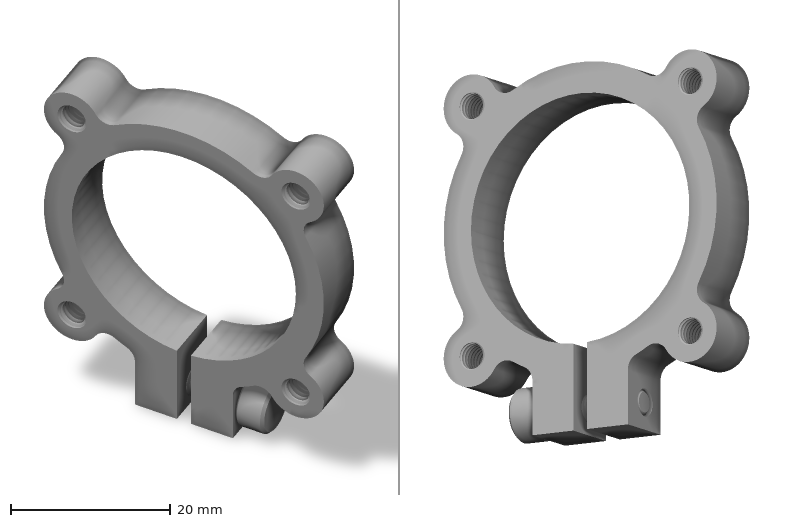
import cadquery as cq
import math

THICKNESS = 8.0
BORE_RADIUS = 16.0
RING_RADIUS = 20.0
BOSS_RADIUS = 4.0
BOSS_OFFSET = RING_RADIUS - BOSS_RADIUS
BOSS_FILLET = 2.0

EAR_HALF_SPAN = 7.0
SLOT_WIDTH = 2.0
EAR_BOTTOM = -27.1
EAR_FILLET = 2.0

PITCH = 0.7
MAJOR_RADIUS = 2.0
MINOR_RADIUS = 1.65
FLANK_HALF_ANGLE = math.radians(30)
CREST_HALF_WIDTH = PITCH / 16
RIDGE_ROOT_OVERLAP = 0.05
THREAD_OVERRUN = PITCH
COUNTERSINK_RADIUS = 2.05

HEAD_RADIUS = 3.5
HEAD_HEIGHT = 4.0
HEAD_END_CHAMFER = 0.4
HEAD_BASE_CHAMFER = 0.3
SCREW_LENGTH = 2 * EAR_HALF_SPAN
TIP_CHAMFER = 0.7
SCREW_THREAD_START = -90
SCREW_Z = EAR_BOTTOM + HEAD_RADIUS


def rod(radius, length):
    """Cylinder on the Z axis, from z = 0 up to its length."""
    return cq.Workplane("XY").circle(radius).extrude(length)


def threaded_rod(length):
    """Right-hand threaded rod on the Z axis that overruns both ends of 0..length."""
    root_radius = MINOR_RADIUS - RIDGE_ROOT_OVERLAP
    root_half_width = CREST_HALF_WIDTH + (MAJOR_RADIUS - root_radius) * math.tan(FLANK_HALF_ANGLE)
    helix = cq.Wire.makeHelix(PITCH, length + 2 * THREAD_OVERRUN, root_radius)
    ridge = (
        cq.Workplane("XZ")
        .polyline([
            (root_radius, -root_half_width),
            (MAJOR_RADIUS, -CREST_HALF_WIDTH),
            (MAJOR_RADIUS, CREST_HALF_WIDTH),
            (root_radius, root_half_width),
        ])
        .close()
        .sweep(cq.Workplane(helix), isFrenet=True)
        .translate((0, 0, -THREAD_OVERRUN))
    )
    core = rod(MINOR_RADIUS, length + 4 * THREAD_OVERRUN).translate((0, 0, -2 * THREAD_OVERRUN))
    return core.union(ridge)


def along_y(shape, x, z):
    """Turn a Z-axis shape onto Y, starting at the front face of the ring at (x, z)."""
    return shape.rotate((0, 0, 0), (1, 0, 0), -90).translate((x, -THICKNESS / 2, z))


def along_x(shape):
    """Turn a Z-axis shape onto the screw axis, starting at the left side of the ears."""
    return shape.rotate((0, 0, 0), (0, 1, 0), 90).translate((-EAR_HALF_SPAN, 0, SCREW_Z))


def plate(radius, x, z):
    """Round plate of the ring's thickness, centred at (x, z)."""
    return along_y(rod(radius, THICKNESS), x, z)


def polar(radius, angle, centre=(0, 0)):
    """Point at a radius and angle about a centre."""
    return (centre[0] + radius * math.cos(angle), centre[1] + radius * math.sin(angle))


def triangle_angle(opposite, side_a, side_b):
    """Angle between two sides of a triangle, from its three side lengths."""
    return math.acos((side_a**2 + side_b**2 - opposite**2) / (2 * side_a * side_b))


boss_distance = BOSS_OFFSET * math.sqrt(2)
boss_angles = [math.radians(angle) for angle in (-45, 45, 135, 225)]

boss_fillet_distance = RING_RADIUS + BOSS_FILLET
boss_to_fillet = BOSS_RADIUS + BOSS_FILLET
angle_at_ring = triangle_angle(boss_to_fillet, boss_distance, boss_fillet_distance)
angle_at_boss = triangle_angle(boss_fillet_distance, boss_distance, boss_to_fillet)
angle_at_fillet = math.pi - angle_at_ring - angle_at_boss


def add_boss(outline, boss_angle):
    """Continue a counterclockwise outline around one boss: fillet, boss arc, fillet."""
    boss_centre = polar(boss_distance, boss_angle)
    first_angle = boss_angle - angle_at_ring
    last_angle = boss_angle + angle_at_ring
    first_centre = polar(boss_fillet_distance, first_angle)
    last_centre = polar(boss_fillet_distance, last_angle)
    first_middle = polar(BOSS_FILLET, first_angle + math.pi - angle_at_fillet / 2, first_centre)
    last_middle = polar(BOSS_FILLET, last_angle + math.pi + angle_at_fillet / 2, last_centre)
    boss_start = polar(BOSS_RADIUS, boss_angle + math.pi + angle_at_boss, boss_centre)
    boss_end = polar(BOSS_RADIUS, boss_angle + math.pi - angle_at_boss, boss_centre)
    return (
        outline
        .threePointArc(first_middle, boss_start)
        .threePointArc(polar(BOSS_RADIUS, boss_angle, boss_centre), boss_end)
        .threePointArc(last_middle, polar(RING_RADIUS, last_angle))
    )


def build_outline():
    """Solid plate with the ring's outer outline, its four bosses and the ear block."""
    ear_fillet_x = EAR_HALF_SPAN + EAR_FILLET
    ear_fillet_z = -math.sqrt((RING_RADIUS + EAR_FILLET) ** 2 - ear_fillet_x**2)
    ear_angle = math.atan2(ear_fillet_z, ear_fillet_x)
    right_centre = (ear_fillet_x, ear_fillet_z)
    left_ear_angle = math.pi - ear_angle
    right_middle = polar(EAR_FILLET, -math.pi + ear_angle / 2, right_centre)
    left_middle = (-right_middle[0], right_middle[1])
    right_tangent = polar(RING_RADIUS, ear_angle)
    left_tangent = polar(RING_RADIUS, left_ear_angle)

    outline = (
        cq.Workplane("XZ", origin=(0, THICKNESS / 2, 0))
        .moveTo(EAR_HALF_SPAN, EAR_BOTTOM)
        .lineTo(EAR_HALF_SPAN, ear_fillet_z)
        .threePointArc(right_middle, right_tangent)
    )
    arc_start_angle = ear_angle
    for boss_angle in boss_angles:
        arc_end_angle = boss_angle - angle_at_ring
        outline = outline.threePointArc(
            polar(RING_RADIUS, (arc_start_angle + arc_end_angle) / 2),
            polar(RING_RADIUS, arc_end_angle),
        )
        outline = add_boss(outline, boss_angle)
        arc_start_angle = boss_angle + angle_at_ring
    return (
        outline
        .threePointArc(polar(RING_RADIUS, (arc_start_angle + left_ear_angle) / 2), left_tangent)
        .threePointArc(left_middle, (-EAR_HALF_SPAN, ear_fillet_z))
        .lineTo(-EAR_HALF_SPAN, EAR_BOTTOM)
        .close()
        .extrude(THICKNESS)
    )


def build_clamp(screw_thread):
    """Split clamp ring with four tapped bosses and a tapped hole through the ears."""
    body = build_outline().cut(plate(BORE_RADIUS, 0, 0))
    slot = cq.Workplane("XY").box(SLOT_WIDTH, THICKNESS, -EAR_BOTTOM, centered=(True, True, False))
    body = body.cut(slot.translate((0, 0, EAR_BOTTOM)))

    boss_thread = threaded_rod(THICKNESS)
    countersink = cq.Workplane(cq.Solid.makeCone(COUNTERSINK_RADIUS, 0, COUNTERSINK_RADIUS))
    for boss_angle in boss_angles:
        x, z = polar(boss_distance, boss_angle)
        body = body.cut(along_y(countersink, x, z))
        body = body.cut(along_y(boss_thread, x, z))
    return body.cut(screw_thread)


def build_screw(screw_thread):
    """Clamp screw with its tip level with the left ear and its head on the right ear."""
    tip_radius = MAJOR_RADIUS - TIP_CHAMFER
    cone_radius = MAJOR_RADIUS + TIP_CHAMFER
    envelope = along_x(
        cq.Workplane("XZ")
        .polyline([
            (0, 0),
            (tip_radius, 0),
            (cone_radius, cone_radius - tip_radius),
            (cone_radius, SCREW_LENGTH),
            (0, SCREW_LENGTH),
        ])
        .close()
        .revolve(360, (0, 0, 0), (0, 1, 0))
    )
    shank = screw_thread.intersect(envelope)
    head = (
        rod(HEAD_RADIUS, HEAD_HEIGHT)
        .faces(">Z").edges().chamfer(HEAD_END_CHAMFER)
        .faces("<Z").edges().chamfer(HEAD_BASE_CHAMFER)
    )
    head = along_x(head).translate((SCREW_LENGTH, 0, 0))
    return shank.union(head)


screw_rod = threaded_rod(SCREW_LENGTH).rotate((0, 0, 0), (0, 0, 1), SCREW_THREAD_START)
screw_thread = along_x(screw_rod)

clamp = build_clamp(screw_thread)
screw = build_screw(screw_thread)

result = cq.Compound.makeCompound([clamp.solids().val(), screw.solids().val()])